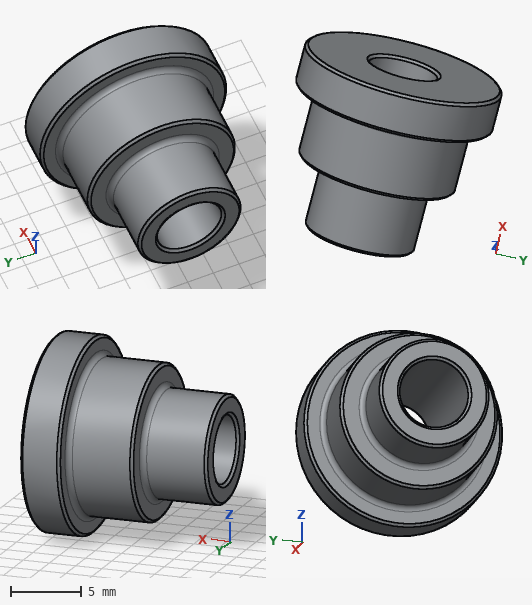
import cadquery as cq

bore_diameter = 5.0
nose_diameter = 8.0
body_diameter = 11.5
flange_diameter = 14.5

total_length = 13.0
step_length = 5.0
body_start = step_length
flange_start = 2 * step_length

edge_chamfer = 0.2
root_fillet = 0.4


def cylinder_along_x(diameter, start, end):
    """Solid cylinder on the X axis between two X positions."""
    return cq.Workplane("YZ", origin=(start, 0, 0)).circle(diameter / 2).extrude(end - start)


def chamfered_step(diameter, start):
    """Cylinder from start to the back face, chamfered on its front rim."""
    return cylinder_along_x(diameter, start, total_length).faces("<X").chamfer(edge_chamfer)


def root_edge(diameter, position):
    """Selector for the inside corner where a step meets the next shoulder."""
    radius = diameter / 2
    margin = edge_chamfer / 2
    reach = radius + margin
    return cq.selectors.BoxSelector(
        (position - margin, -reach, -reach),
        (position + margin, reach, reach),
        boundingbox=True,
    )


nose = chamfered_step(nose_diameter, 0)
body = chamfered_step(body_diameter, body_start)
flange = chamfered_step(flange_diameter, flange_start).faces(">X").chamfer(edge_chamfer)
bushing = nose.union(body).union(flange)

bushing = bushing.edges(root_edge(nose_diameter, body_start)).fillet(root_fillet)
bushing = bushing.edges(root_edge(body_diameter, flange_start)).fillet(root_fillet)

bushing = bushing.cut(cylinder_along_x(bore_diameter, 0, total_length))
bore_rims = cq.selectors.RadiusNthSelector(0)
bushing = bushing.faces("<X or >X").edges(bore_rims).chamfer(edge_chamfer)

result = bushing